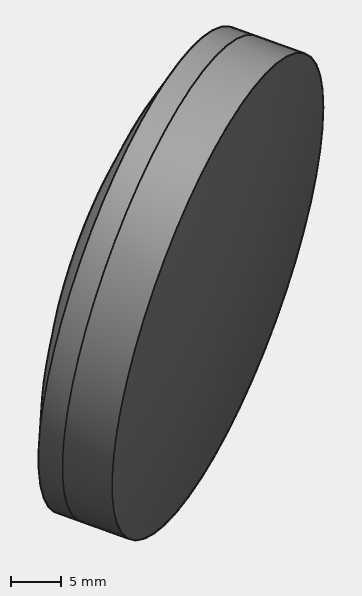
import cadquery as cq

lens_diameter = 50.8
total_thickness = 15.0
front_sag = 5.3
back_sag = 1.75
front_rim_width = 2.6

lens_radius = lens_diameter / 2
front_apex_x = -total_thickness / 2
back_apex_x = total_thickness / 2
front_edge_x = front_apex_x + front_sag
back_edge_x = back_apex_x - back_sag
joint_x = front_edge_x + front_rim_width


def sphere_radius(sag):
    """Radius of the spherical cap with the given sag across the lens diameter."""
    return (lens_radius**2 + sag**2) / (2 * sag)


def plano_convex_lens(flat_x, edge_x, apex_x):
    """Disc from the flat face to the rim edge, capped by a sphere that reaches the apex."""
    sag = abs(apex_x - edge_x)
    bulge = 1 if apex_x > edge_x else -1
    cap_radius = sphere_radius(sag)
    center_x = apex_x - bulge * cap_radius
    mid_height = lens_radius / 2
    mid_x = center_x + bulge * (cap_radius**2 - mid_height**2) ** 0.5
    return (
        cq.Workplane("XY")
        .moveTo(flat_x, 0)
        .lineTo(flat_x, lens_radius)
        .lineTo(edge_x, lens_radius)
        .threePointArc((mid_x, mid_height), (apex_x, 0))
        .close()
        .revolve(360, (0, 0, 0), (1, 0, 0))
    )


front_element = plano_convex_lens(joint_x, front_edge_x, front_apex_x)
back_element = plano_convex_lens(joint_x, back_edge_x, back_apex_x)

result = cq.Compound.makeCompound([front_element.val(), back_element.val()])